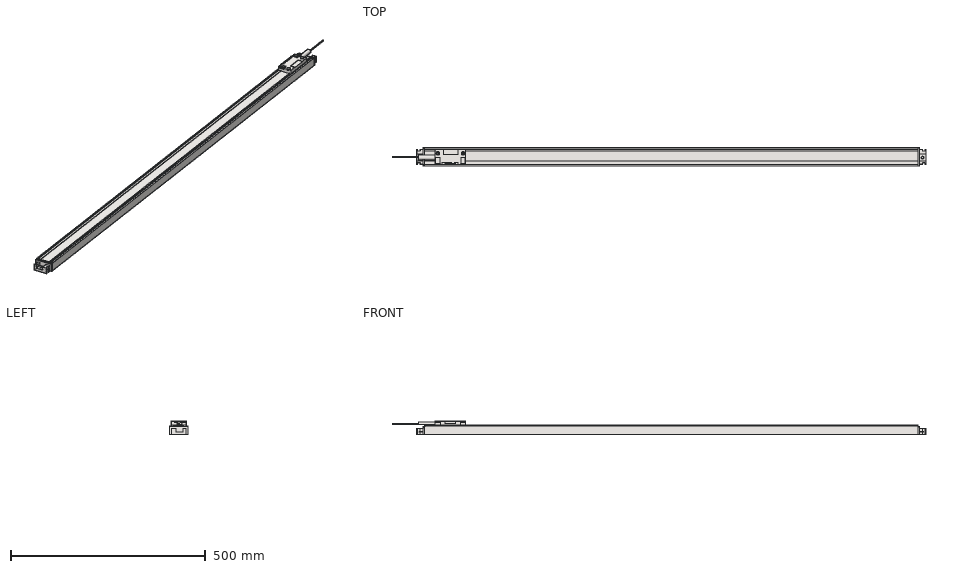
import cadquery as cq

cable_start = 0.0
scale_start = 62.0
scale_end = 1370.0
scale_middle = (scale_start + scale_end) / 2
foot_length = 16.6
collar_length = 4.1
cap_length = foot_length + collar_length
rail_start = scale_start + cap_length
rail_end = scale_end - cap_length

rail_width = 47.9
shoulder_height = 22.5
deck_width = 38.0
deck_height = 24.5
channel_front = -11.0
channel_back = 14.5
channel_depth = 1.0

collar_height = 21.0
foot_width = 38.5
foot_height = 16.0
notch_length = 6.0
notch_depth = 4.0
notch_offset = 3.0
slit_start = 7.0
slit_depth = 2.0
slit_height = 2.0
slit_middle = 7.5
screw_offset = 9.0
screw_y = -2.0
screw_hole = 6.0
screw_slot_front = -11.0
screw_slot_back = 7.0
screw_slot_floor = 7.5

head_start = 110.0
head_end = 188.0
head_top = 35.0
head_half_width = 19.5
head_height = head_top - deck_height
ear_length = 13.5
ear_setback = 1.5
ear_pocket_length = 11.0
ear_pocket_width = 15.0
ear_pocket_depth = 4.0
ear_pocket_y = -9.5
ear_screw_y = 9.0
ear_screw_hole = 4.5
ear_screw_head = 9.0
ear_screw_head_depth = 4.0
panel_start = 131.0
panel_end = 168.0
panel_front = 6.5
panel_depth = 1.0
window_start = 135.0
window_end = 162.0
window_bottom = 29.0
window_top = 33.5
window_depth = 2.0
step_depth = 1.0
step_width = 4.5
step_spans = [(127.0, 152.0), (159.0, 168.0)]

cable_diameter = 3.0
cable_height = 27.8
sleeve_start = 67.0
sleeve_front = -8.0
sleeve_back = 5.0
sleeve_bottom = 25.8
sleeve_top = 33.0
sleeve_rounding = 5.0


def block(x_start, x_end, y_start, y_end, z_start, z_end):
    """Box given by its limits along X, Y and Z."""
    size = (x_end - x_start, y_end - y_start, z_end - z_start)
    return cq.Workplane("XY").box(*size, centered=False).translate((x_start, y_start, z_start))


def make_cable():
    """Round cable along X, ending at the sleeve."""
    plane = cq.Workplane("YZ", origin=(cable_start, 0, cable_height))
    return plane.circle(cable_diameter / 2).extrude(sleeve_start - cable_start)


def make_rail():
    """Long extrusion with stepped shoulders and a shallow channel in its deck."""
    channel_floor = deck_height - channel_depth
    outline = [
        (-rail_width / 2, 0),
        (rail_width / 2, 0),
        (rail_width / 2, shoulder_height),
        (deck_width / 2, shoulder_height),
        (deck_width / 2, deck_height),
        (channel_back, deck_height),
        (channel_back, channel_floor),
        (channel_front, channel_floor),
        (channel_front, deck_height),
        (-deck_width / 2, deck_height),
        (-deck_width / 2, shoulder_height),
        (-rail_width / 2, shoulder_height),
    ]
    plane = cq.Workplane("YZ", origin=(rail_start, 0, 0))
    return plane.polyline(outline).close().extrude(rail_end - rail_start)


def make_start_cap():
    """Cap at the cable end: a full-width collar and a notched mounting foot."""
    foot_end = scale_start + foot_length
    side = foot_width / 2
    collar = block(foot_end, rail_start, -rail_width / 2, rail_width / 2, 0, collar_height)
    cap = collar.union(block(scale_start, foot_end, -side, side, 0, foot_height))

    notch_start = scale_start + notch_offset
    notch_end = notch_start + notch_length
    slit_bottom = slit_middle - slit_height / 2
    slit_top = slit_middle + slit_height / 2
    for direction in (-1, 1):
        notch_sides = sorted((direction * side, direction * (side - notch_depth)))
        cap = cap.cut(block(notch_start, notch_end, *notch_sides, 0, foot_height))
        slit_sides = sorted((direction * side, direction * (side - notch_depth - slit_depth)))
        cap = cap.cut(block(scale_start + slit_start, foot_end, *slit_sides, slit_bottom, slit_top))

    screw_plane = cq.Workplane("XY", origin=(scale_start + screw_offset, screw_y, 0))
    cap = cap.cut(screw_plane.circle(screw_hole / 2).extrude(foot_height))
    return cap.cut(block(scale_start, foot_end, screw_slot_front, screw_slot_back,
                         screw_slot_floor, foot_height))


def make_head():
    """Reading head with set-back ears, a top panel, a side window and its cable."""
    centre = block(head_start + ear_length, head_end - ear_length,
                   -head_half_width, head_half_width, deck_height, head_top)
    ears = block(head_start, head_end, ear_setback - head_half_width, head_half_width,
                 deck_height, head_top)
    head = centre.union(ears)

    pocket_floor = head_top - ear_pocket_depth
    for ear_middle in (head_start + ear_length / 2, head_end - ear_length / 2):
        pocket = block(ear_middle - ear_pocket_length / 2, ear_middle + ear_pocket_length / 2,
                       ear_pocket_y - ear_pocket_width / 2, ear_pocket_y + ear_pocket_width / 2,
                       pocket_floor, head_top)
        head = head.cut(pocket)
        screw_plane = cq.Workplane("XY", origin=(ear_middle, ear_screw_y, deck_height))
        head = head.cut(screw_plane.circle(ear_screw_hole / 2).extrude(head_height))
        screw_head_plane = screw_plane.workplane(offset=head_height - ear_screw_head_depth)
        head = head.cut(screw_head_plane.circle(ear_screw_head / 2).extrude(ear_screw_head_depth))

    head = head.cut(block(panel_start, panel_end, panel_front, head_half_width,
                          head_top - panel_depth, head_top))
    head = head.cut(block(window_start, window_end, -head_half_width, window_depth - head_half_width,
                          window_bottom, window_top))

    for step_start, step_end in step_spans:
        head = head.cut(block(step_start, step_end, -head_half_width, step_width - head_half_width,
                              head_top - step_depth, head_top))

    sleeve = block(sleeve_start, head_start, sleeve_front, sleeve_back, sleeve_bottom, sleeve_top)
    head = head.union(sleeve.edges("|X and >Z").fillet(sleeve_rounding))
    return head.union(make_cable())


rail = make_rail()
start_cap = make_start_cap()
end_cap = start_cap.mirror("YZ", (scale_middle, 0, 0))
head = make_head()

result = cq.Compound.makeCompound([rail.val(), start_cap.val(), end_cap.val(), head.val()])